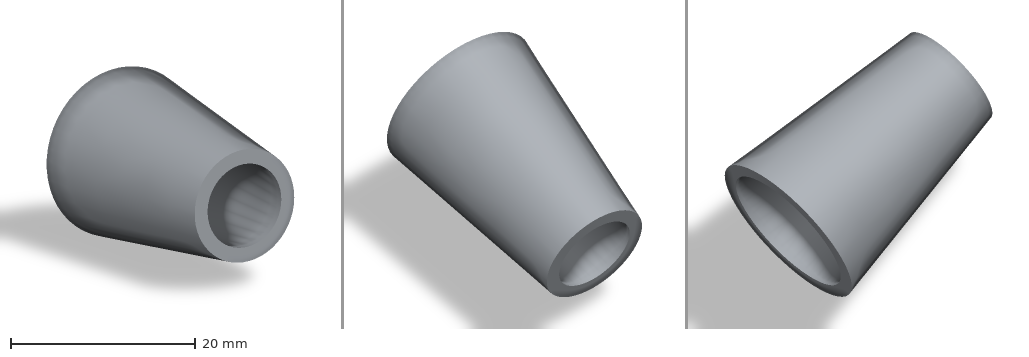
import cadquery as cq

length = 25.4
large_diameter = 19.05
small_diameter = 12.7
wall = 1.65

large_radius = large_diameter / 2
small_radius = small_diameter / 2

wall_section = (
    cq.Workplane("XY")
    .moveTo(0, large_radius - wall)
    .lineTo(0, large_radius)
    .lineTo(length, small_radius)
    .lineTo(length, small_radius - wall)
    .close()
)

result = wall_section.revolve(360, (0, 0, 0), (1, 0, 0))